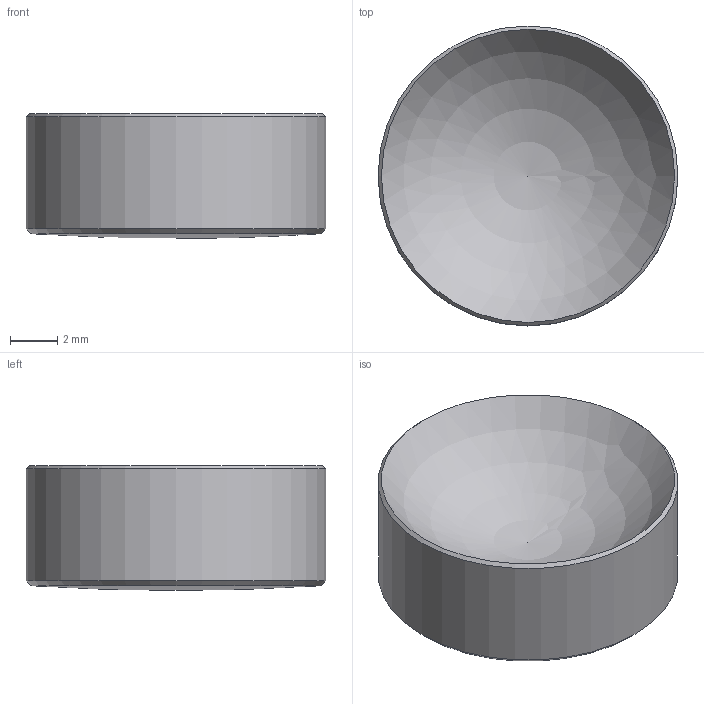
import cadquery as cq
import math

diameter = 12.7
height = 5.29
center_thickness = 2.0
convex_sag = 0.2
concave_bevel = 0.14
convex_bevel = 0.2

radius = diameter / 2
concave_rim_radius = radius - concave_bevel
convex_rim_radius = radius - convex_bevel
concave_sag = height - center_thickness


def height_above_vertex(rim_radius, sag, distance):
    """Height of a spherical face above its vertex, at a distance from the axis."""
    sphere_radius = (rim_radius**2 + sag**2) / (2 * sag)
    return sphere_radius - math.sqrt(sphere_radius**2 - distance**2)


def midpoint(rim_radius, sag, vertex_z):
    """Point on a spherical face halfway out from the axis to its rim."""
    distance = rim_radius / 2
    return (distance, vertex_z + height_above_vertex(rim_radius, sag, distance))


def lens_half_section():
    """Closed half section in the XZ plane, from the axis out to the edge and back."""
    return (
        cq.Workplane("XZ")
        .moveTo(0, 0)
        .threePointArc(midpoint(convex_rim_radius, convex_sag, 0), (convex_rim_radius, convex_sag))
        .lineTo(radius, convex_sag + convex_bevel)
        .lineTo(radius, height - concave_bevel)
        .lineTo(concave_rim_radius, height)
        .threePointArc(midpoint(concave_rim_radius, concave_sag, center_thickness), (0, center_thickness))
        .close()
    )


axis_start = (0, 0, 0)
axis_end = (0, 1, 0)
result = lens_half_section().revolve(360, axis_start, axis_end)